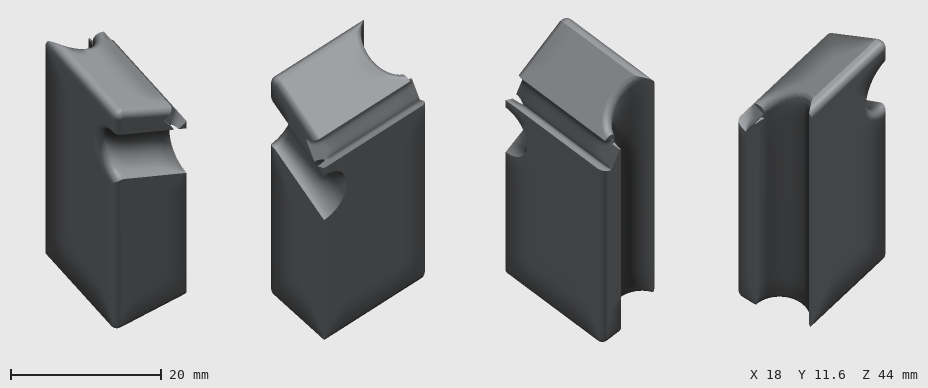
import cadquery as cq
import math

WIDTH = 18.0
DEPTH = 11.55
HEIGHT = 43.95
ROUND = 1.0
TILT = math.radians(30)

RIDGE_BACK = 1.55

CHANNEL_RADIUS = 4.05
FRONT_LEFT = 1.7

NOTCH_Y = 9.9
NOTCH_Z = 34.7
NOTCH_HEIGHT = 4.1

RELIEF_WIDTH = 1.45
RELIEF_Z = 37.52

BORE_RADIUS = 4.0
BORE_TILT = math.radians(28)
BORE_Z = 35.8

MOUTH_LIFT = 0.01
OVERRUN = 26.35


def make_wedge():
    """Sharp-edged prism with the sloping roof and the flat ridge."""
    roof_back_z = HEIGHT - (DEPTH - RIDGE_BACK) * math.tan(TILT)
    return (
        cq.Workplane("YZ")
        .polyline([
            (0, 0),
            (DEPTH, 0),
            (DEPTH, roof_back_z),
            (RIDGE_BACK, HEIGHT),
            (0, HEIGHT),
        ])
        .close()
        .extrude(WIDTH)
    )


def make_block():
    """Outer block with its rounded edges."""
    block = make_wedge()
    block = block.edges("|Z and <X and >Y").fillet(ROUND)
    ridge_front = block.edges("|X and >Z and <Y")
    right_front = block.edges("|Z and >X and <Y")
    right_roof = block.faces(">X").edges("(not |Z) and (not <Z)")
    floor_rim = block.faces("<Z").edges()
    return ridge_front.add(right_front).add(right_roof).add(floor_rim).fillet(ROUND)


def make_roof_mouth():
    """Oversized body holding the channel, its mouth rounded where it meets the roof."""
    roof = cq.Plane(
        origin=(0, RIDGE_BACK, HEIGHT + MOUTH_LIFT),
        xDir=(1, 0, 0),
        normal=(0, math.sin(TILT), math.cos(TILT)),
    )
    body = cq.Workplane(roof).rect(4 * OVERRUN, 4 * OVERRUN).extrude(-4 * OVERRUN)
    cylinder = (
        cq.Workplane("XY", origin=(0, CHANNEL_RADIUS, -4 * OVERRUN))
        .circle(CHANNEL_RADIUS)
        .extrude(8 * OVERRUN)
    )
    body = body.cut(cylinder)
    return body.faces(">Z").edges("%ELLIPSE").fillet(ROUND)


def make_floor_flare():
    """Ring cutter that rounds the channel rim at the floor."""
    outer = CHANNEL_RADIUS + ROUND
    mid = ROUND * (1 - math.sqrt(0.5))
    return (
        cq.Workplane("XZ")
        .lineTo(outer, 0)
        .threePointArc((CHANNEL_RADIUS + mid, mid), (CHANNEL_RADIUS, ROUND))
        .lineTo(0, ROUND)
        .close()
        .revolve(360, (0, 0, 0), (0, 1, 0))
        .translate((0, CHANNEL_RADIUS, 0))
    )


def make_bored_body():
    """Oversized body holding the inclined bore, its rim rounded on the front plane."""
    body = cq.Workplane("XZ", origin=(WIDTH, 0, BORE_Z)).rect(4 * OVERRUN, 4 * OVERRUN).extrude(-OVERRUN)
    axis = cq.Vector(0, math.cos(BORE_TILT), -math.sin(BORE_TILT))
    start = cq.Vector(WIDTH, 0, BORE_Z) - axis * OVERRUN
    bore = cq.Solid.makeCylinder(BORE_RADIUS, 3 * OVERRUN, start, axis)
    return body.cut(cq.Workplane(bore)).faces("<Y").edges("%ELLIPSE").fillet(ROUND)


def make_lip_trim():
    """Box that squares off the thin front lip."""
    return cq.Workplane("XY").box(FRONT_LEFT, CHANNEL_RADIUS, HEIGHT, centered=False)


def make_notch():
    """Tilted rectangular cutter, open to the back."""
    out_y = OVERRUN * math.cos(TILT)
    out_z = OVERRUN * math.sin(TILT)
    top_y = NOTCH_Y - NOTCH_HEIGHT * math.sin(TILT)
    top_z = NOTCH_Z + NOTCH_HEIGHT * math.cos(TILT)
    return (
        cq.Workplane("YZ")
        .polyline([
            (NOTCH_Y, NOTCH_Z),
            (NOTCH_Y + out_y, NOTCH_Z + out_z),
            (top_y + out_y, top_z + out_z),
            (top_y, top_z),
        ])
        .close()
        .extrude(WIDTH)
    )


def make_relief():
    """Box above the left end of the notch."""
    return cq.Workplane("XY").box(
        RELIEF_WIDTH, DEPTH, HEIGHT - RELIEF_Z, centered=False
    ).translate((0, 0, RELIEF_Z))


result = (
    make_block()
    .cut(make_lip_trim())
    .cut(make_floor_flare())
    .intersect(make_roof_mouth())
    .intersect(make_bored_body())
    .cut(make_notch())
    .cut(make_relief())
)